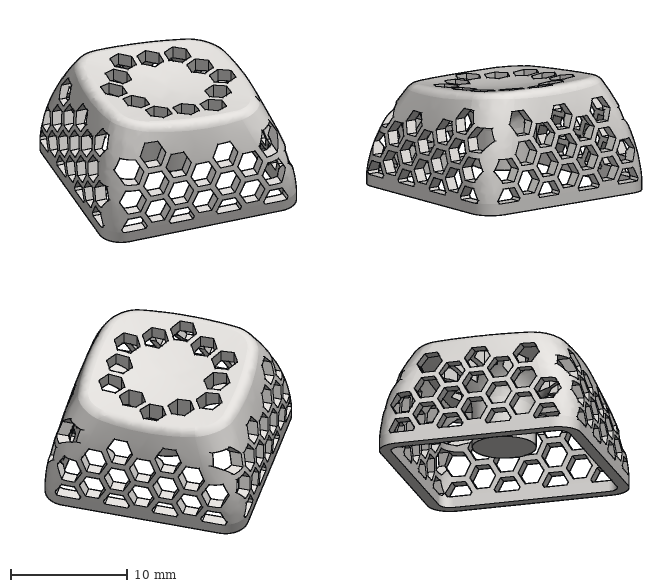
import cadquery as cq
import math

base_size = 18.0
base_corner_radius = 2.0
rim_height = 1.0
top_height = 9.45
top_tilt = 5.0
top_half_size = 6.98
top_side_bulge = 0.4
top_corner_start = 4.05
top_shift = -0.05
corner_steadiness = 0.7
dish_depth = 0.61
top_fillet = 1.0
wall = 1.0
roof = 1.15

hex_flats = 2.0
hex_pitch = 2.5

post_diameter = 5.5
post_bottom = 2.0
post_fillet = 3.0

hex_corner_diameter = hex_flats / math.cos(math.pi / 6)
hex_column_pitch = hex_pitch * math.cos(math.pi / 6)
base_half = base_size / 2
base_corner_start = base_half - base_corner_radius
ceiling_height = top_height - roof
post_radius = post_diameter / 2
post_reach = post_radius + post_fillet


def blend(base, top, rise, steadiness=0):
    """Move from the rim value to the top value, from quadratic (0) to linear (1) with the rise."""
    return base + (top - base) * (steadiness * rise + (1 - steadiness) * rise**2)


def tilted_plane(height, tilt):
    angle = math.radians(tilt)
    return cq.Plane(origin=(0, 0, height), xDir=(1, 0, 0), normal=(0, math.sin(angle), math.cos(angle)))


def outline(rise, height, tilt, inset):
    """Rounded square with arched sides, `rise` of the way (0 to 1) from the rim to the top."""
    side = blend(base_half, top_half_size, rise) - inset
    bulge = blend(0, top_side_bulge, rise)
    start = blend(base_corner_start, top_corner_start, rise, corner_steadiness)
    shift = blend(0, top_shift, rise)
    edge = side - bulge

    corner_turn = math.pi / 2 - 4 * math.atan(bulge / start)
    corner = (edge + start) / 2 + (edge - start) / 2 * math.tan(corner_turn / 4)

    def turned(x, y, quarter):
        for _ in range(quarter):
            x, y = -y, x
        return (x, y + shift)

    sketch = cq.Workplane(tilted_plane(height, tilt)).moveTo(*turned(edge, -start, 0))
    for quarter in range(4):
        side_middle = turned(side, 0, quarter)
        side_end = turned(edge, start, quarter)
        if bulge > 0:
            sketch = sketch.threePointArc(side_middle, side_end)
        else:
            sketch = sketch.lineTo(*side_end)
        sketch = sketch.threePointArc(turned(corner, corner, quarter), turned(start, edge, quarter))
    return sketch.close().val()


def dished_block(height, inset):
    """Block with bulging walls from the rim up to a dished top."""
    section_count = 4
    sections = []
    for index in range(section_count):
        share = index / (section_count - 1)
        section_height = rim_height + share * (height - rim_height)
        rise = (section_height - rim_height) / (top_height - rim_height)
        sections.append(outline(rise, section_height, share * top_tilt, inset))
    block = cq.Solid.makeLoft(sections)
    flat_top = cq.Workplane(block).faces(">Z").val()
    plane = tilted_plane(height, top_tilt)
    dish_middle = plane.toWorldCoords((0, 0, -dish_depth))
    dish = cq.Face.makeNSidedSurface(flat_top.Edges(), [dish_middle])
    others = [face for face in block.Faces() if not face.isSame(flat_top)]
    return cq.Workplane(cq.Solid.makeSolid(cq.Shell.makeShell(others + [dish])))


def rim_block(inset):
    size = base_size - 2 * inset
    block = cq.Workplane("XY").rect(size, size).extrude(rim_height)
    return block.edges("|Z").fillet(base_corner_radius - inset)


def hex_bars(plane, centres, start, length):
    """Hexagonal bars along the normal of a plane, `start` away from it."""
    bars = cq.Workplane(plane).workplane(offset=start).pushPoints(centres)
    return bars.polygon(6, hex_corner_diameter).extrude(length)


def hex_column(column, rows):
    """Centres in one column of the wall honeycomb; odd columns sit half a pitch lower."""
    drop = hex_pitch / 2 if column % 2 else 0
    return [(column * hex_column_pitch, row * hex_pitch - drop) for row in rows]


cap_top = dished_block(top_height, 0).faces(">Z").edges().fillet(top_fillet)
cap = rim_block(0).union(cap_top)
cavity = rim_block(wall).union(dished_block(ceiling_height, wall))
shell = cap.cut(cavity)

front_through = []
side_through = []
for column in range(-3, 4):
    front_through += hex_column(column, (1, 2, 3) if abs(column) == 1 else (1, 2))
    side_through += hex_column(column, (1, 2, 3) if column % 2 else (1, 2))
front_high = [centre for column in (-2, 0, 2) for centre in hex_column(column, (3,))]
side_high = hex_column(-2, (3,))

bar_sets = [
    hex_bars("XZ", front_through, -base_size, 2 * base_size),
    hex_bars("XZ", front_high, post_reach, base_size),
    hex_bars("YZ", side_through, -base_size, 2 * base_size),
    hex_bars("YZ", side_high, post_reach, base_size),
    hex_bars("YZ", side_high, -post_reach, -base_size),
]
above_rim = cq.Workplane("XY").workplane(offset=rim_height).rect(2 * base_size, 2 * base_size).extrude(top_height)
for bars in bar_sets:
    shell = shell.cut(bars.intersect(above_rim))

post = cq.Workplane("XY").workplane(offset=post_bottom).circle(post_radius)
body = shell.union(post.extrude(ceiling_height - post_bottom))
root_box = cq.selectors.BoxSelector(
    (-post_reach / 2, -post_reach / 2, ceiling_height - 2 * dish_depth),
    (post_reach / 2, post_reach / 2, top_height),
    boundingbox=True,
)
body = body.edges(root_box).fillet(post_fillet)

ring = []
for side in (-1, 1):
    ring.append((0, side * 2 * hex_pitch))
    for end in (-1, 1):
        ring.append((side * hex_column_pitch, end * 1.5 * hex_pitch))
    for row in (-1, 0, 1):
        ring.append((side * 2 * hex_column_pitch, row * hex_pitch))
result = body.cut(hex_bars("XY", ring, rim_height, base_size))